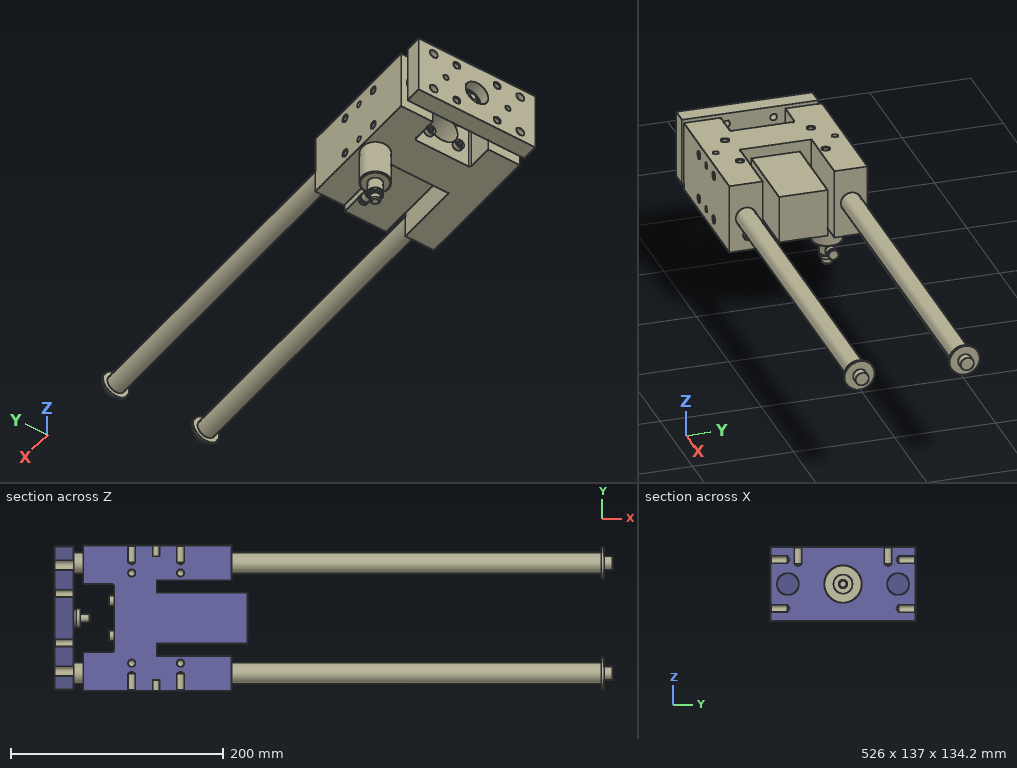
import cadquery as cq
import math

TOTAL_LENGTH = 526.0
TOTAL_HEIGHT = 134.16

HOUSING_LENGTH = 140.0
HOUSING_WIDTH = 137.0
HOUSING_HEIGHT = 70.0
HOUSING_FRONT = 27.0
HOUSING_BACK = HOUSING_FRONT + HOUSING_LENGTH
FRONT_POCKET_END = 56.3
FRONT_POCKET_WIDTH = 64.0
REAR_POCKET_START = 96.5
REAR_POCKET_WIDTH = 71.0
POCKET_CORNER_CHAMFER = 1.6

DRIVE_SIZE = 48.0
DRIVE_END = 182.0
DRIVE_BORE_DIAMETER = 35.0
DRIVE_BORE_END = 170.0
DRIVE_SCREW_PITCH = 33.0
DRIVE_SCREW_DIAMETER = 10.0
DRIVE_SCREW_HEAD = 5.0
DRIVE_SCREW_SOCKET = 5.0
DRIVE_SCREW_SOCKET_DEPTH = 3.0

THREAD_CORE = 6.65
THREAD_MOUTH = 8.2
THREAD_DEPTH = 16.0
DRILL_POINT_ANGLE = 118.0
DOWEL_DIAMETER = 6.0
DOWEL_DEPTH = 10.0
HOLE_CENTRE_X = 95.8
HOLE_PITCH = 46.0
TOP_THREAD_Y = 42.5
TOP_DOWEL_Y = 59.0

ROD_OFFSET = 52.0
CLAMP_X = 92.5
CLAMP_DIAMETER = 30.0
CLAMP_LENGTH = 40.0
CLAMP_CHAMFER = 1.0
FITTING_DIAMETER = 15.0
FITTING_BODY_LENGTH = 14.4
FITTING_BODY_CHAMFER = 1.5
FITTING_HEX_ACROSS_FLATS = 13.0
FITTING_HEX_LENGTH = 3.0
FITTING_TIP_DIAMETER = 10.0
FITTING_TIP_CHAMFER = 1.5
SIDE_PORT_DROP = 6.5
SIDE_PORT_NECK_DIAMETER = 7.0
SIDE_PORT_NECK_END = 9.5
SIDE_PORT_DIAMETER = 10.0
SIDE_PORT_GROOVE_DIAMETER = 9.0
SIDE_PORT_GROOVE_START = 17.0
SIDE_PORT_GROOVE_WIDTH = 1.5
SIDE_PORT_END = 21.0
SIDE_PORT_CHAMFER = 0.8

NIPPLE_DIAMETER = 6.0
NIPPLE_LENGTH = 6.0
NIPPLE_CHAMFER = 1.0
NIPPLE_Z = -19.0

PLATE_THICKNESS = 18.0
PLATE_WIDTH = 135.0
PLATE_HEIGHT = 68.0
PLATE_RECESS_DIAMETER = 26.0
PLATE_RECESS_DEPTH = 12.0
PLATE_SCREW_DIAMETER = 9.0
PLATE_SCREW_PITCH = 100.0
PLATE_THREAD_PITCH = 46.5
PLATE_DOWEL_PITCH = 71.5

COUPLING_DIAMETER = 18.0
HUB_HEIGHT = 2.0
CONE_BASE_DIAMETER = 15.0
CONE_TIP_DIAMETER = 7.0
CONE_HEIGHT = 4.0
COUPLING_NECK_DIAMETER = 16.0
COUPLING_NECK_END = 20.5
COUPLING_FLANGE_END = 24.5
STUD_DIAMETER = 8.0
STUD_END = 33.8
STUD_CHAMFER = 0.8

ROD_DIAMETER = 20.0
STOP_DIAMETER = 30.0
STOP_THICKNESS = 2.5
STOP_SCREW_DIAMETER = 13.0
STOP_SCREW_HEAD = 8.0
ROD_END = TOTAL_LENGTH - STOP_SCREW_HEAD - STOP_THICKNESS

BOTTOM = -HOUSING_HEIGHT / 2
SIDES = (-1, 1)
HEX_SIDES = 6
HALF_HEX_STEP = 180.0 / HEX_SIDES


def bar_x(start, end, diameter, y=0.0, z=0.0):
    """A round bar along X."""
    circle = cq.Workplane("YZ", origin=(start, y, z)).circle(diameter / 2)
    return circle.extrude(end - start)


def block(start, end, width, height):
    """A rectangular block centred on Y = Z = 0."""
    return cq.Workplane("YZ", origin=(start, 0, 0)).rect(width, height).extrude(end - start)


def hole(entry, direction, diameter, depth):
    """A plain round hole cutter that starts at the entry point."""
    return cq.Workplane(cq.Solid.makeCylinder(diameter / 2, depth, cq.Vector(*entry), cq.Vector(*direction)))


def threaded_hole(entry, direction, depth):
    """A core hole whose mouth is countersunk at 90 degrees."""
    mouth_radius = THREAD_MOUTH / 2
    core_radius = THREAD_CORE / 2
    countersink = cq.Solid.makeCone(
        mouth_radius, core_radius, mouth_radius - core_radius, cq.Vector(*entry), cq.Vector(*direction)
    )
    return hole(entry, direction, THREAD_CORE, depth).union(cq.Workplane(countersink))


def blind_threaded_hole(entry, direction):
    """A threaded hole that ends in a conical drill point."""
    core_radius = THREAD_CORE / 2
    point_length = core_radius / math.tan(math.radians(DRILL_POINT_ANGLE / 2))
    core_end = cq.Vector(*entry) + cq.Vector(*direction) * THREAD_DEPTH
    point = cq.Solid.makeCone(core_radius, 0, point_length, core_end, cq.Vector(*direction))
    return threaded_hole(entry, direction, THREAD_DEPTH).union(cq.Workplane(point))


def housing_block():
    body = block(HOUSING_FRONT, HOUSING_BACK, HOUSING_WIDTH, HOUSING_HEIGHT)
    front_pocket = block(HOUSING_FRONT, FRONT_POCKET_END, FRONT_POCKET_WIDTH, HOUSING_HEIGHT)
    front_pocket = front_pocket.edges("|Z and >X").chamfer(POCKET_CORNER_CHAMFER)
    rear_pocket = block(REAR_POCKET_START, HOUSING_BACK, REAR_POCKET_WIDTH, HOUSING_HEIGHT)
    return body.cut(front_pocket).cut(rear_pocket)


def add_drive_cylinder(body):
    body = body.union(block(REAR_POCKET_START, DRIVE_END, DRIVE_SIZE, DRIVE_SIZE))
    screws = (
        cq.Workplane("YZ", origin=(FRONT_POCKET_END, 0, 0))
        .rect(DRIVE_SCREW_PITCH, DRIVE_SCREW_PITCH, forConstruction=True)
        .vertices()
        .circle(DRIVE_SCREW_DIAMETER / 2)
        .extrude(-DRIVE_SCREW_HEAD)
    )
    sockets = (
        cq.Workplane("YZ", origin=(FRONT_POCKET_END - DRIVE_SCREW_HEAD, 0, 0))
        .rect(DRIVE_SCREW_PITCH, DRIVE_SCREW_PITCH, forConstruction=True)
        .vertices()
        .polygon(HEX_SIDES, DRIVE_SCREW_SOCKET, circumscribed=True)
        .extrude(DRIVE_SCREW_SOCKET_DEPTH)
    )
    bore = bar_x(FRONT_POCKET_END, DRIVE_BORE_END, DRIVE_BORE_DIAMETER)
    return body.union(screws).cut(sockets).cut(bore)


def drill_housing(body):
    side_y = HOUSING_WIDTH / 2
    top_z = HOUSING_HEIGHT / 2
    for side in SIDES:
        body = body.cut(bar_x(HOUSING_FRONT, HOUSING_BACK, ROD_DIAMETER, side * ROD_OFFSET))
        top_dowel = (HOLE_CENTRE_X, side * TOP_DOWEL_Y, top_z)
        body = body.cut(hole(top_dowel, (0, 0, -1), DOWEL_DIAMETER, DOWEL_DEPTH))
        for row in SIDES:
            row_z = row * HOLE_PITCH / 2
            side_dowel = (HOLE_CENTRE_X, side * side_y, row_z)
            body = body.cut(hole(side_dowel, (0, -side, 0), DOWEL_DIAMETER, DOWEL_DEPTH))
            for end in SIDES:
                x = HOLE_CENTRE_X + end * HOLE_PITCH / 2
                body = body.cut(blind_threaded_hole((x, side * side_y, row_z), (0, -side, 0)))
        for end in SIDES:
            x = HOLE_CENTRE_X + end * HOLE_PITCH / 2
            body = body.cut(blind_threaded_hole((x, side * TOP_THREAD_Y, top_z), (0, 0, -1)))
    return body


def rod_clamp():
    """Clamp cylinder and its fitting, turned about a vertical axis, with a port on the side."""
    clamp_bottom = BOTTOM - CLAMP_LENGTH
    body_bottom = clamp_bottom - FITTING_BODY_LENGTH
    hex_bottom = body_bottom - FITTING_HEX_LENGTH
    tip_bottom = HOUSING_HEIGHT / 2 - TOTAL_HEIGHT

    def drum(top, bottom, diameter):
        circle = cq.Workplane("XY", origin=(CLAMP_X, ROD_OFFSET, bottom)).circle(diameter / 2)
        return circle.extrude(top - bottom)

    clamp = drum(BOTTOM, clamp_bottom, CLAMP_DIAMETER).faces("<Z").chamfer(CLAMP_CHAMFER)
    fitting_body = drum(clamp_bottom, body_bottom, FITTING_DIAMETER).faces("<Z").chamfer(FITTING_BODY_CHAMFER)
    hexagon = (
        cq.Workplane("XY", origin=(CLAMP_X, ROD_OFFSET, hex_bottom))
        .polygon(HEX_SIDES, FITTING_HEX_ACROSS_FLATS, circumscribed=True)
        .extrude(FITTING_HEX_LENGTH)
        .rotate((CLAMP_X, ROD_OFFSET, 0), (CLAMP_X, ROD_OFFSET, 1), HALF_HEX_STEP)
    )
    tip = drum(hex_bottom, tip_bottom, FITTING_TIP_DIAMETER).faces("<Z").chamfer(FITTING_TIP_CHAMFER)

    port_z = clamp_bottom - SIDE_PORT_DROP
    neck_end = CLAMP_X + SIDE_PORT_NECK_END
    neck = bar_x(CLAMP_X, neck_end, SIDE_PORT_NECK_DIAMETER, ROD_OFFSET, port_z)
    groove_start = CLAMP_X + SIDE_PORT_GROOVE_START
    groove_end = groove_start + SIDE_PORT_GROOVE_WIDTH
    port = bar_x(neck_end, groove_start, SIDE_PORT_DIAMETER, ROD_OFFSET, port_z)
    port = port.faces("<X").chamfer(SIDE_PORT_CHAMFER)
    groove = bar_x(groove_start, groove_end, SIDE_PORT_GROOVE_DIAMETER, ROD_OFFSET, port_z)
    rim = bar_x(groove_end, CLAMP_X + SIDE_PORT_END, SIDE_PORT_DIAMETER, ROD_OFFSET, port_z)
    port = port.union(groove).union(rim)
    return clamp.union(fitting_body).union(hexagon).union(tip).union(neck).union(port)


def make_housing():
    body = drill_housing(add_drive_cylinder(housing_block()))
    nipple = bar_x(HOUSING_BACK, HOUSING_BACK + NIPPLE_LENGTH, NIPPLE_DIAMETER, -ROD_OFFSET, NIPPLE_Z)
    nipple = nipple.faces(">X").chamfer(NIPPLE_CHAMFER)
    return body.union(rod_clamp()).union(nipple)


def front_plate():
    plate = block(0, PLATE_THICKNESS, PLATE_WIDTH, PLATE_HEIGHT)
    inward = (1, 0, 0)
    plate = plate.cut(bar_x(0, PLATE_RECESS_DEPTH, PLATE_RECESS_DIAMETER))
    for side in SIDES:
        dowel = (0, side * PLATE_DOWEL_PITCH / 2, 0)
        plate = plate.cut(hole(dowel, inward, DOWEL_DIAMETER, DOWEL_DEPTH))
        for row in SIDES:
            z = row * HOLE_PITCH / 2
            screw = (0, side * PLATE_SCREW_PITCH / 2, z)
            thread = (0, side * PLATE_THREAD_PITCH / 2, z)
            plate = plate.cut(hole(screw, inward, PLATE_SCREW_DIAMETER, PLATE_THICKNESS))
            plate = plate.cut(threaded_hole(thread, inward, PLATE_THICKNESS))
    return plate


def coupling():
    hub_front = PLATE_RECESS_DEPTH - HUB_HEIGHT
    hub = bar_x(hub_front, PLATE_RECESS_DEPTH, COUPLING_DIAMETER)
    cone = cq.Workplane(
        cq.Solid.makeCone(
            CONE_BASE_DIAMETER / 2, CONE_TIP_DIAMETER / 2, CONE_HEIGHT,
            cq.Vector(hub_front, 0, 0), cq.Vector(-1, 0, 0),
        )
    )
    neck = bar_x(PLATE_THICKNESS, COUPLING_NECK_END, COUPLING_NECK_DIAMETER)
    flange = bar_x(COUPLING_NECK_END, COUPLING_FLANGE_END, COUPLING_DIAMETER)
    stud = bar_x(COUPLING_FLANGE_END, STUD_END, STUD_DIAMETER).faces(">X").chamfer(STUD_CHAMFER)
    return hub.union(cone).union(neck).union(flange).union(stud)


def guide_rod(y):
    stop_end = ROD_END + STOP_THICKNESS
    rod = bar_x(PLATE_THICKNESS, ROD_END, ROD_DIAMETER, y)
    stop = bar_x(ROD_END, stop_end, STOP_DIAMETER, y)
    screw = bar_x(stop_end, TOTAL_LENGTH, STOP_SCREW_DIAMETER, y)
    return rod.union(stop).union(screw)


def make_slide():
    slide = front_plate().union(coupling())
    for side in SIDES:
        slide = slide.union(guide_rod(side * ROD_OFFSET))
    return slide


housing = make_housing()
slide = make_slide()
result = cq.Compound.makeCompound([housing.val(), slide.val()])